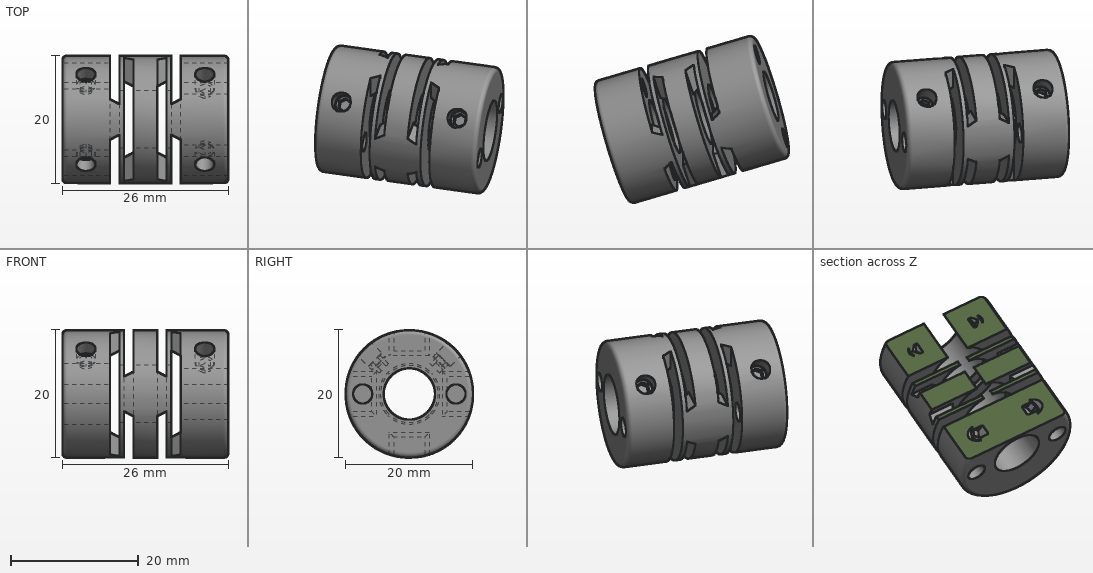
import cadquery as cq
import math

length = 26.0
outer_diameter = 20.0
edge_fillet = 0.75

left_bore_diameter = 9.525
middle_bore_diameter = 9.0
right_bore_diameter = 8.0

centre_disc_width = 3.75
slit_width = 1.43
ring_width = 0.77

web_flare = 0.75
outer_web_half_width = 2.42
outer_web_inner_height = 6.75
inner_web_half_width = 2.75
inner_web_inner_height = 5.92

screw_diameter = 3.0
screw_distance_from_end = 3.7
screw_angle = 45.0
screw_length = 2.85
socket_across_flats = 1.8
socket_depth = 1.2
screw_edge_chamfer = 0.1

pin_diameter = 3.0
pin_pitch_radius = 7.3

half_length = length / 2
outer_radius = outer_diameter / 2
inner_slit_start = centre_disc_width / 2
inner_slit_end = inner_slit_start + slit_width
outer_slit_start = inner_slit_end + ring_width
outer_slit_end = outer_slit_start + slit_width


def cylinder_along_x(x_start, x_end, diameter, y=0.0):
    plane = cq.Workplane("YZ", origin=(x_start, y, 0))
    return plane.circle(diameter / 2).extrude(x_end - x_start)


def make_body():
    body = cylinder_along_x(-half_length, half_length, outer_diameter)
    return body.faces("<X or >X").edges().fillet(edge_fillet)


def cut_bores(body):
    body = body.cut(cylinder_along_x(-half_length, -outer_slit_end, left_bore_diameter))
    body = body.cut(cylinder_along_x(-outer_slit_end, outer_slit_end, middle_bore_diameter))
    return body.cut(cylinder_along_x(outer_slit_end, half_length, right_bore_diameter))


def make_slit(x_narrow, x_wide, half_width, inner_height):
    """Slit with webs towards +Z and -Z; they are narrow at x_narrow and flared at x_wide."""
    slit = cylinder_along_x(min(x_narrow, x_wide), max(x_narrow, x_wide), 2 * outer_diameter)
    beyond = outer_diameter
    across = [
        (x_narrow, -half_width),
        (x_narrow, half_width),
        (x_wide, half_width + web_flare),
        (x_wide, -half_width - web_flare),
    ]
    upright = [
        (x_narrow, inner_height),
        (x_narrow, beyond),
        (x_wide, beyond),
        (x_wide, inner_height - web_flare),
    ]
    widths = cq.Workplane("XY").polyline(across).close().extrude(beyond, both=True)
    heights = cq.Workplane("XZ").polyline(upright).close().extrude(beyond, both=True)
    upper_web = widths.intersect(heights)
    return slit.cut(upper_web).cut(upper_web.mirror("XY"))


def cut_slits(body):
    for side in (-1, 1):
        outer_slit = make_slit(
            side * outer_slit_start, side * outer_slit_end, outer_web_half_width, outer_web_inner_height
        )
        inner_slit = make_slit(
            side * inner_slit_end, side * inner_slit_start, inner_web_half_width, inner_web_inner_height
        )
        quarter_turned = inner_slit.rotate((0, 0, 0), (1, 0, 0), 90)
        body = body.cut(outer_slit).cut(quarter_turned)
    return body


def make_screw_hole(x, face_radius):
    """Hole towards +Z at x, ending on the chamfered and socketed outer face of a screw."""
    screw_radius = screw_diameter / 2
    chamfer_start = cq.Workplane("XY", origin=(x, 0, face_radius - screw_edge_chamfer))
    hole = chamfer_start.circle(screw_radius).extrude(outer_radius)
    screw_tip = chamfer_start.circle(screw_radius).extrude(screw_edge_chamfer, taper=45)
    corner_diameter = socket_across_flats / math.cos(math.radians(30))
    screw_face = cq.Workplane("XY", origin=(x, 0, face_radius)).transformed(rotate=(0, 0, 90))
    socket = screw_face.polygon(6, corner_diameter).extrude(-socket_depth)
    return hole.cut(screw_tip).union(socket)


def cut_screw_holes(body):
    for side, bore_diameter in ((-1, left_bore_diameter), (1, right_bore_diameter)):
        x = side * (half_length - screw_distance_from_end)
        hole = make_screw_hole(x, bore_diameter / 2 + screw_length)
        for angle in (-screw_angle, screw_angle):
            body = body.cut(hole.rotate((0, 0, 0), (1, 0, 0), angle))
    return body


def cut_pin_holes(body):
    for y in (-pin_pitch_radius, pin_pitch_radius):
        body = body.cut(cylinder_along_x(-half_length, -outer_slit_end, pin_diameter, y))
        body = body.cut(cylinder_along_x(outer_slit_end, half_length, pin_diameter, y))
    return body


result = cut_pin_holes(cut_screw_holes(cut_slits(cut_bores(make_body()))))